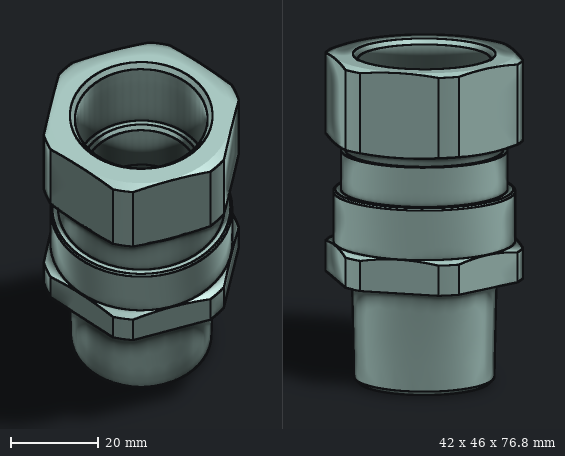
import cadquery as cq

ACROSS_FLATS = 42.0
CORNER_DIAMETER = 46.0
FACE_DIAMETER = 41.6
NUT_CHAMFER_HEIGHT = 0.6
BODY_CHAMFER_HEIGHT = 0.9

BODY_HEX_BOTTOM = 25.0
BODY_HEX_TOP = 33.0
JOINT = 45.05
GROOVE_BOTTOM = 54.3
NUT_HEX_BOTTOM = 56.7
TOP = 76.75

SPIGOT_TIP_RADIUS = 16.1
SPIGOT_ROOT_RADIUS = 16.65
SPIGOT_CHAMFER = 1.1
BODY_COLLAR_RADIUS = 20.9
BODY_COLLAR_CHAMFER = 0.45
NUT_COLLAR_RADIUS = 19.1
GROOVE_RADIUS = 18.1

SOCKET_RADIUS = 15.2
SOCKET_MOUTH_RADIUS = 16.35
SOCKET_MOUTH_DEPTH = 1.15
SOCKET_FLOOR = 57.9
SEAT_OUTER_RADIUS = 14.0
SEAT_INNER_RADIUS = 13.05
SEAT_DEPTH = 0.9
BORE_TIP_RADIUS = 12.0


def revolved(profile):
    """Solid of revolution about Z from (radius, height) points."""
    return cq.Workplane("XZ").polyline(profile).close().revolve(360, (0, 0), (0, 1))


def hexagon(bottom, top, bottom_chamfer, top_chamfer):
    """Hexagon with flats on +/-X, turned corners and conical end chamfers (0 for a plain end)."""
    corner = CORNER_DIAMETER / 2
    face = FACE_DIAMETER / 2
    blank = [(0, bottom)]
    if bottom_chamfer:
        blank += [(face, bottom), (corner, bottom + bottom_chamfer)]
    else:
        blank += [(corner, bottom)]
    blank += [(corner, top - top_chamfer), (face, top), (0, top)]
    prism = (
        cq.Workplane("XY", origin=(0, 0, bottom))
        .polygon(6, ACROSS_FLATS, circumscribed=True)
        .extrude(top - bottom)
    )
    return prism.intersect(revolved(blank))


def make_body():
    """Lower body: tapered spigot, hexagon and round collar with a tapered through bore."""
    turned = revolved([
        (0, 0),
        (SPIGOT_TIP_RADIUS - SPIGOT_CHAMFER, 0),
        (SPIGOT_TIP_RADIUS, SPIGOT_CHAMFER),
        (SPIGOT_ROOT_RADIUS, BODY_HEX_BOTTOM),
        (BODY_COLLAR_RADIUS, BODY_HEX_BOTTOM),
        (BODY_COLLAR_RADIUS, JOINT - BODY_COLLAR_CHAMFER),
        (BODY_COLLAR_RADIUS - BODY_COLLAR_CHAMFER, JOINT),
        (0, JOINT),
    ])
    bore = revolved([
        (0, 0),
        (BORE_TIP_RADIUS, 0),
        (SEAT_INNER_RADIUS, JOINT),
        (0, JOINT),
    ])
    hex_flange = hexagon(BODY_HEX_BOTTOM, BODY_HEX_TOP, 0, BODY_CHAMFER_HEIGHT)
    return turned.union(hex_flange).cut(bore)


def make_nut():
    """Upper nut: hexagon, groove and collar, with a stepped socket."""
    turned = revolved([
        (0, JOINT),
        (NUT_COLLAR_RADIUS, JOINT),
        (NUT_COLLAR_RADIUS, GROOVE_BOTTOM),
        (GROOVE_RADIUS, GROOVE_BOTTOM),
        (GROOVE_RADIUS, NUT_HEX_BOTTOM),
        (0, NUT_HEX_BOTTOM),
    ])
    socket = revolved([
        (0, JOINT),
        (SEAT_INNER_RADIUS, JOINT),
        (SEAT_INNER_RADIUS, SOCKET_FLOOR - SEAT_DEPTH),
        (SEAT_OUTER_RADIUS, SOCKET_FLOOR),
        (SOCKET_RADIUS, SOCKET_FLOOR),
        (SOCKET_RADIUS, TOP - SOCKET_MOUTH_DEPTH),
        (SOCKET_MOUTH_RADIUS, TOP),
        (0, TOP),
    ])
    nut_hex = hexagon(NUT_HEX_BOTTOM, TOP, NUT_CHAMFER_HEIGHT, NUT_CHAMFER_HEIGHT)
    return turned.union(nut_hex).cut(socket)


body = make_body()
nut = make_nut()
result = cq.Compound.makeCompound([body.val(), nut.val()])